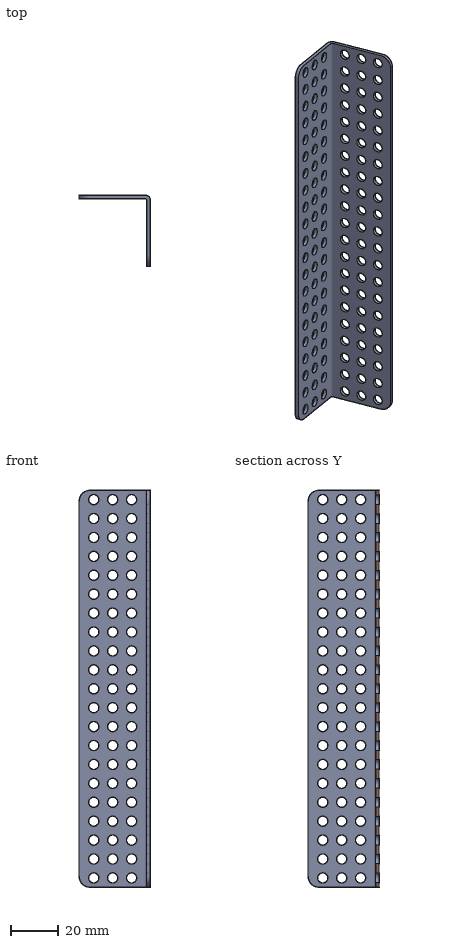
import cadquery as cq

length = 168.0
flange_width = 30.2
thickness = 1.6
inner_bend_radius = 0.74
corner_radius = 4.7
hole_diameter = 4.2
row_count = 21
column_count = 3

outer_bend_radius = inner_bend_radius + thickness
pitch = length / row_count
columns = [flange_width - (column_count - i) * pitch for i in range(column_count)]
rows = [(j + 0.5) * pitch for j in range(row_count)]
hole_centers = [(column, row) for column in columns for row in rows]


def bent_sheet():
    """Folded L section with its outer bend at the +X, +Y corner."""
    inner = flange_width - thickness
    section = (
        cq.Workplane("XY")
        .moveTo(0, flange_width)
        .lineTo(flange_width, flange_width)
        .lineTo(flange_width, 0)
        .lineTo(inner, 0)
        .lineTo(inner, inner)
        .lineTo(0, inner)
        .close()
        .extrude(length)
    )
    inner_corner = cq.selectors.NearestToPointSelector((inner, inner, length / 2))
    outer_corner = cq.selectors.NearestToPointSelector((flange_width, flange_width, length / 2))
    section = section.edges("|Z").edges(outer_corner).fillet(outer_bend_radius)
    return section.edges("|Z").edges(inner_corner).fillet(inner_bend_radius)


def round_free_corners(body):
    """Round the two free corners of each flange."""
    body = body.faces("<X").edges("|Y").fillet(corner_radius)
    return body.faces("<Y").edges("|X").fillet(corner_radius)


def flange_holes(plane, reach):
    """Cylinders for one flange's hole grid, set out from its free edge."""
    return (
        cq.Workplane(plane)
        .pushPoints(hole_centers)
        .circle(hole_diameter / 2)
        .extrude(reach)
    )


back_flange_holes = flange_holes("XZ", -2 * flange_width)
side_flange_holes = flange_holes("YZ", 2 * flange_width)

result = round_free_corners(bent_sheet()).cut(back_flange_holes).cut(side_flange_holes)